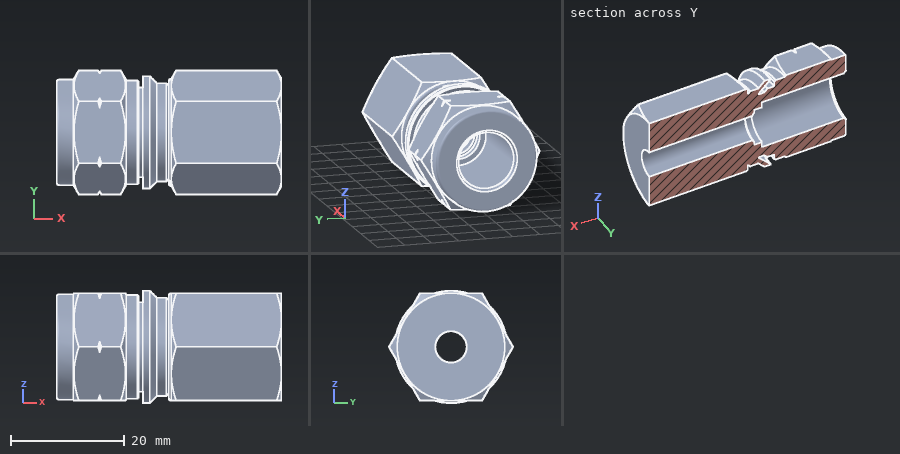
import cadquery as cq
import math

TOTAL_LENGTH = 39.73

HEX_FLATS = 19.0
HEX_CORNERS = HEX_FLATS / math.cos(math.radians(30))
HEX_CHAMFER_ANGLE = 30.0

COLLAR_DIA = 18.7
COLLAR_ROUND = 0.5
NUT_HEX_START = 3.0
NUT_HEX_END = 12.35
NUT_REAR_DIA = 18.4
NUT_REAR_END = 14.55
NUT_REAR_CHAMFER = 0.3
NOTCH_X = 7.62
NOTCH_DEPTH = 0.5
NOTCH_WIDTH = 0.6

NECK_DIA = 15.87
RELIEF_DIA = 14.6
RELIEF_START = 15.9
RING_DIA = 19.9
RING_RIM_WIDTH = 0.23
RING_START = 15.25
RING_CONE_START = 16.48
SHOULDER_DIA = 17.4
RING_CONE_END = RING_CONE_START + (RING_DIA - SHOULDER_DIA) / 2
SHOULDER_CHAMFER = 0.4

BODY_START = 19.78
WASHER_FACE_DIA = 19.0
WASHER_FACE_ROUND = 0.5
BODY_HEX_START = BODY_START + WASHER_FACE_ROUND

TUBE_BORE_DIA = 10.2
TUBE_BORE_MOUTH_DIA = 11.2
TUBE_BORE_DEPTH = 17.0
SEAT_BORE_DIA = 7.9
SEAT_BORE_DEPTH = 18.5
CONE_MOUTH_DIA = 6.9
CONE_LENGTH = 0.4
THROUGH_DIA = 5.5


def revolve_about_x(profile):
    """Revolve a profile, drawn as (x, radius), about the X axis."""
    return profile.close().revolve(360, (0, 0, 0), (1, 0, 0))


def chamfered_hex(start, end, start_face_dia, end_face_dia):
    """Hexagon with flats at +Z and -Z, its corners turned off to a face diameter at each end."""
    corner_radius = HEX_CORNERS / 2
    slope = math.tan(math.radians(HEX_CHAMFER_ANGLE))
    start_length = (corner_radius - start_face_dia / 2) * slope
    end_length = (corner_radius - end_face_dia / 2) * slope
    hexagon = (
        cq.Workplane("YZ", origin=(start, 0, 0))
        .polygon(6, HEX_CORNERS)
        .extrude(end - start)
    )
    envelope = revolve_about_x(
        cq.Workplane("XY")
        .moveTo(start, 0)
        .lineTo(start, start_face_dia / 2)
        .lineTo(start + start_length, corner_radius)
        .lineTo(end - end_length, corner_radius)
        .lineTo(end, end_face_dia / 2)
        .lineTo(end, 0)
    )
    return hexagon.intersect(envelope)


def corner_notches():
    """V-shaped ring that nicks only the corners of the nut hexagon."""
    corner_radius = HEX_CORNERS / 2
    half_width = NOTCH_WIDTH / 2
    overshoot = 1.0
    return revolve_about_x(
        cq.Workplane("XY")
        .moveTo(NOTCH_X, corner_radius - NOTCH_DEPTH)
        .lineTo(NOTCH_X + half_width, corner_radius)
        .lineTo(NOTCH_X + half_width, corner_radius + overshoot)
        .lineTo(NOTCH_X - half_width, corner_radius + overshoot)
        .lineTo(NOTCH_X - half_width, corner_radius)
    )


def turned_core():
    """All the round outer surfaces as one turned blank."""
    collar_radius = COLLAR_DIA / 2
    rear_radius = NUT_REAR_DIA / 2
    shoulder_radius = SHOULDER_DIA / 2
    washer_radius = WASHER_FACE_DIA / 2
    relief_depth = (NECK_DIA - RELIEF_DIA) / 2
    recess_depth = (RING_DIA - RELIEF_DIA) / 2 - RING_RIM_WIDTH
    return revolve_about_x(
        cq.Workplane("XY")
        .moveTo(0, 0)
        .lineTo(0, collar_radius - COLLAR_ROUND)
        .radiusArc((COLLAR_ROUND, collar_radius), COLLAR_ROUND)
        .lineTo(NUT_HEX_START, collar_radius)
        .lineTo(NUT_HEX_START, rear_radius)
        .lineTo(NUT_REAR_END - NUT_REAR_CHAMFER, rear_radius)
        .lineTo(NUT_REAR_END, rear_radius - NUT_REAR_CHAMFER)
        .lineTo(NUT_REAR_END, NECK_DIA / 2)
        .lineTo(RELIEF_START, NECK_DIA / 2)
        .lineTo(RELIEF_START + relief_depth, RELIEF_DIA / 2)
        .lineTo(RING_START + recess_depth, RELIEF_DIA / 2)
        .lineTo(RING_START, RING_DIA / 2 - RING_RIM_WIDTH)
        .lineTo(RING_START, RING_DIA / 2)
        .lineTo(RING_CONE_START, RING_DIA / 2)
        .lineTo(RING_CONE_END, shoulder_radius)
        .lineTo(BODY_START - SHOULDER_CHAMFER, shoulder_radius)
        .lineTo(BODY_START, shoulder_radius - SHOULDER_CHAMFER)
        .lineTo(BODY_START, washer_radius - WASHER_FACE_ROUND)
        .radiusArc((BODY_HEX_START, washer_radius), WASHER_FACE_ROUND)
        .lineTo(BODY_HEX_START, 0)
    )


def stepped_bore():
    """Tube bore with a chamfered mouth, a seat, a cone and the through hole."""
    mouth_chamfer = (TUBE_BORE_MOUTH_DIA - TUBE_BORE_DIA) / 2
    return revolve_about_x(
        cq.Workplane("XY")
        .moveTo(0, 0)
        .lineTo(0, TUBE_BORE_MOUTH_DIA / 2)
        .lineTo(mouth_chamfer, TUBE_BORE_DIA / 2)
        .lineTo(TUBE_BORE_DEPTH, TUBE_BORE_DIA / 2)
        .lineTo(TUBE_BORE_DEPTH, SEAT_BORE_DIA / 2)
        .lineTo(SEAT_BORE_DEPTH, SEAT_BORE_DIA / 2)
        .lineTo(SEAT_BORE_DEPTH, CONE_MOUTH_DIA / 2)
        .lineTo(SEAT_BORE_DEPTH + CONE_LENGTH, THROUGH_DIA / 2)
        .lineTo(TOTAL_LENGTH, THROUGH_DIA / 2)
        .lineTo(TOTAL_LENGTH, 0)
    )


nut_hex = chamfered_hex(NUT_HEX_START, NUT_HEX_END, COLLAR_DIA, NUT_REAR_DIA).cut(corner_notches())
body_hex = chamfered_hex(BODY_HEX_START, TOTAL_LENGTH, WASHER_FACE_DIA, HEX_FLATS)
result = turned_core().union(nut_hex).union(body_hex).cut(stepped_bore())